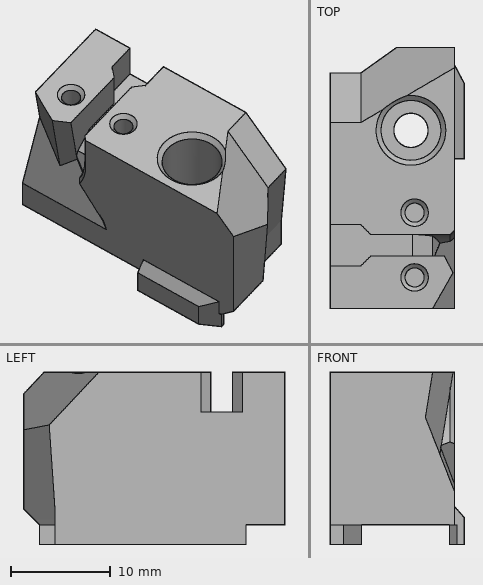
import cadquery as cq
import math

length = 26.2
height = 17.3
overall_width = 13.45
body_width = 12.47
rail_height = 2.0
left_width = 3.07

bevel_top_y = 18.65
bevel_far_y = 24.15
shoulder_y = 23.63
shoulder_z = 12.0
left_foot_y = 23.05
draft_end_z = 3.56
diagonal_end_x = 6.63
diagonal_knee_z = 2.5
bottom_chamfer = 1.57

rail_width = 3.15
rail_front_y = 3.88
rail_tip_width = 1.34
rail_tip_angle = 65.0
lip_inner_x = 11.95
lip_front_y = 15.0
lip_tip_x = 12.7
lip_side_back_y = 22.58
lip_side_height = 2.72
lip_root_height = 3.83
lip_back_slope = 1.9

screw_x = 8.1
screw_y = 17.87
screw_diameter = 3.4
head_diameter = 6.0
head_rim_diameter = 7.0
head_depth = 8.65
pin_x = 8.45
pin_rows = (3.12, 9.62)
pin_diameter = 1.9
pin_rim_diameter = 2.75
pin_depth = 3.93

slot_front_y = 5.27
slot_back_y = 7.41
slot_floor_z = 13.3
slot_mouth_flare = 1.0
ramp_start_x = 8.25
ramp_end_x = 10.25
ramp_end_z = 11.85

seat_slope = 2.55
seat_front_x = 9.54
seat_front_z = 12.79
wall_slope_y = 0.57
wall_slope_z = 0.16
ridge_x = 12.31
ridge_y = 3.6
ridge_back_slope_y = 0.52
step_corner = (10.93, 6.37, 10.11)
undercut_normal = (0.47, -1.0, -0.77)
backwall_radius = 7.07
backwall_bottom_z = 7.85
corner_flare_x = 12.03

clip_reach = 104.8


def box(x_range, y_range, z_range):
    """Axis-aligned block between the given limits."""
    sizes = [high - low for low, high in (x_range, y_range, z_range)]
    corner = (x_range[0], y_range[0], z_range[0])
    return cq.Workplane("XY").box(*sizes, centered=False).translate(corner)


def half_space(point, normal):
    """Large block filling the side of a plane that its normal points to."""
    plane = cq.Plane(origin=point, normal=normal)
    return cq.Workplane(plane).rect(clip_reach, clip_reach).extrude(clip_reach)


def clip(solid, *planes):
    """Keep the part of a solid on the normal side of every plane."""
    for point, normal in planes:
        solid = solid.intersect(half_space(point, normal))
    return solid


def normal_through(a, b, c):
    """Normal of the plane through three points."""
    return (cq.Vector(*b) - cq.Vector(*a)).cross(cq.Vector(*c) - cq.Vector(*a)).toTuple()


def make_left_block():
    """Left strip of the body, bevelled and drafted at the back."""
    outline = [
        (0, rail_height),
        (left_foot_y, rail_height),
        (left_foot_y, draft_end_z),
        (shoulder_y, shoulder_z),
        (bevel_top_y, height),
        (0, height),
    ]
    return cq.Workplane("YZ").polyline(outline).close().extrude(left_width)


def make_main_block():
    """Right part of the body with the oblique top bevel, drafted diagonal and bottom chamfer."""
    block = box((left_width, body_width), (0, length), (rail_height, height))
    bevel_start = (left_width, bevel_top_y, height)
    bevel_end = (body_width, bevel_far_y, height)
    shoulder = (left_width, shoulder_y, shoulder_z)
    bevel_normal = normal_through(bevel_start, shoulder, bevel_end)
    draft = (shoulder_y - left_foot_y) / (shoulder_z - draft_end_z)
    diagonal_slope = (length - shoulder_y) / (diagonal_end_x - left_width)
    knee = (left_width, shoulder_y - draft * (shoulder_z - diagonal_knee_z), diagonal_knee_z)
    chamfer_edge = (0, length - bottom_chamfer, rail_height)
    block = clip(block, (bevel_start, bevel_normal), (chamfer_edge, (0, -1, 1)))
    upper = clip(block, (knee, (0, 0, 1)), (shoulder, (diagonal_slope, -1, draft)))
    lower = clip(block, (knee, (0, 0, -1)), (knee, (diagonal_slope, -1, 0)))
    return upper.union(lower)


def make_left_rail():
    """Rail along the left side with a slanted front tip."""
    tip_length = (rail_width - rail_tip_width) * math.tan(math.radians(rail_tip_angle))
    outline = [
        (0, rail_front_y),
        (rail_tip_width, rail_front_y),
        (rail_width, rail_front_y + tip_length),
        (rail_width, left_foot_y),
        (0, left_foot_y),
    ]
    return cq.Workplane("XY").polyline(outline).close().extrude(rail_height)


def make_right_lip():
    """Rail on the right that also rises outside the body as a chamfered lip."""
    back_y = length - bottom_chamfer
    back_corner_x = overall_width - (back_y - lip_side_back_y) / lip_back_slope
    plan = [
        (lip_inner_x, lip_front_y + lip_tip_x - lip_inner_x),
        (lip_tip_x, lip_front_y),
        (overall_width, lip_front_y),
        (overall_width, lip_side_back_y),
        (back_corner_x, back_y),
        (lip_inner_x, back_y),
    ]
    section = [
        (lip_inner_x, 0),
        (overall_width, 0),
        (overall_width, lip_side_height),
        (body_width, lip_root_height),
        (body_width, rail_height),
        (lip_inner_x, rail_height),
    ]
    rail = cq.Workplane("XY").polyline(plan).close().extrude(lip_root_height)
    profile = cq.Workplane("XZ").polyline(section).close().extrude(-length)
    tipped = rail.intersect(profile)
    square = box((body_width, lip_tip_x), (lip_front_y, lip_side_back_y), (rail_height, lip_root_height))
    return tipped.union(square.intersect(profile))


def make_hole(x, y, diameter, rim_diameter, depth):
    """Blind hole from the top face with a 45 degree countersunk rim."""
    rim = (rim_diameter - diameter) / 2
    outline = [
        (0, height - depth),
        (diameter / 2, height - depth),
        (diameter / 2, height - rim),
        (rim_diameter / 2, height),
        (0, height),
    ]
    profile = cq.Workplane("XZ").polyline(outline).close()
    return profile.revolve(360, (0, 0, 0), (0, 1, 0)).translate((x, y, 0))


def make_slot():
    """Cross slot with a flared mouth on the left side."""
    flare_end_x = left_width + slot_mouth_flare
    outline = [
        (0, slot_front_y - slot_mouth_flare),
        (left_width, slot_front_y - slot_mouth_flare),
        (flare_end_x, slot_front_y),
        (body_width, slot_front_y),
        (body_width, slot_back_y),
        (flare_end_x, slot_back_y),
        (left_width, slot_back_y + slot_mouth_flare),
        (0, slot_back_y + slot_mouth_flare),
    ]
    return cq.Workplane("XY", origin=(0, 0, slot_floor_z)).polyline(outline).close().extrude(height)


def backwall_section(x, shift):
    """Section in front of the curved back wall of the pocket at a given X, moved back by shift."""
    drop = slot_floor_z - backwall_bottom_z

    def wall_y(below):
        return slot_back_y + shift - backwall_radius + math.sqrt(backwall_radius**2 - below**2)

    return (
        cq.Workplane("YZ", origin=(x, 0, 0))
        .moveTo(0, height)
        .lineTo(slot_back_y + shift, height)
        .lineTo(slot_back_y + shift, slot_floor_z)
        .threePointArc((wall_y(drop / 2), slot_floor_z - drop / 2), (wall_y(drop), backwall_bottom_z))
        .lineTo(0, backwall_bottom_z)
        .close()
    )


def make_backwall_space():
    """Space in front of the curved back wall, flaring at 45 degrees near the right side."""
    straight = backwall_section(ramp_start_x, 0).extrude(corner_flare_x - ramp_start_x)
    flare = body_width - corner_flare_x
    near = backwall_section(corner_flare_x, 0).val()
    far = backwall_section(body_width, flare).val()
    flared = cq.Workplane(cq.Solid.makeLoft([near, far], True))
    return straight.union(flared)


def make_pocket():
    """Side pocket: sloping seat, undercut V ridge, step and curved back wall."""
    seat = ((seat_front_x, 0, seat_front_z), (seat_slope, 0, 1))
    wall_normal = (1, -wall_slope_y, -wall_slope_z)
    ridge = (ridge_x, ridge_y, height)
    ridge_wall_front = (ridge, wall_normal)
    ridge_wall_back = (ridge, (1, ridge_back_slope_y, -wall_slope_z))
    step_wall = (step_corner, wall_normal)
    raised_seat = (step_corner, (seat_slope, 0, 1))
    undercut = (step_corner, undercut_normal)

    x_range = (ramp_start_x, body_width)
    front = clip(box(x_range, (0, ridge_y), (0, height)), seat, ridge_wall_front)
    behind_ridge = box(x_range, (ridge_y, length / 2), (0, height))
    behind_ridge = clip(behind_ridge, seat, ridge_wall_back, step_wall)

    backwall_space = make_backwall_space()
    under_backwall = clip(behind_ridge, undercut)
    before_backwall = behind_ridge.intersect(backwall_space)

    ramp_normal = (slot_floor_z - ramp_end_z, 0, ramp_end_x - ramp_start_x)
    over_floor = box(x_range, (slot_front_y, length / 2), (0, height)).intersect(backwall_space)
    over_ramp = clip(over_floor, ((ramp_end_x, 0, ramp_end_z), ramp_normal))
    over_raised_seat = clip(over_floor, raised_seat)
    return front.union(before_backwall).union(under_backwall).union(over_ramp).union(over_raised_seat)


body = make_left_block().union(make_main_block())
body = body.union(make_left_rail()).union(make_right_lip())
body = body.cut(make_slot()).cut(make_pocket())
body = body.cut(make_hole(screw_x, screw_y, head_diameter, head_rim_diameter, head_depth))
body = body.cut(cq.Workplane("XY").center(screw_x, screw_y).circle(screw_diameter / 2).extrude(height))
for pin_y in pin_rows:
    body = body.cut(make_hole(pin_x, pin_y, pin_diameter, pin_rim_diameter, pin_depth))

result = body